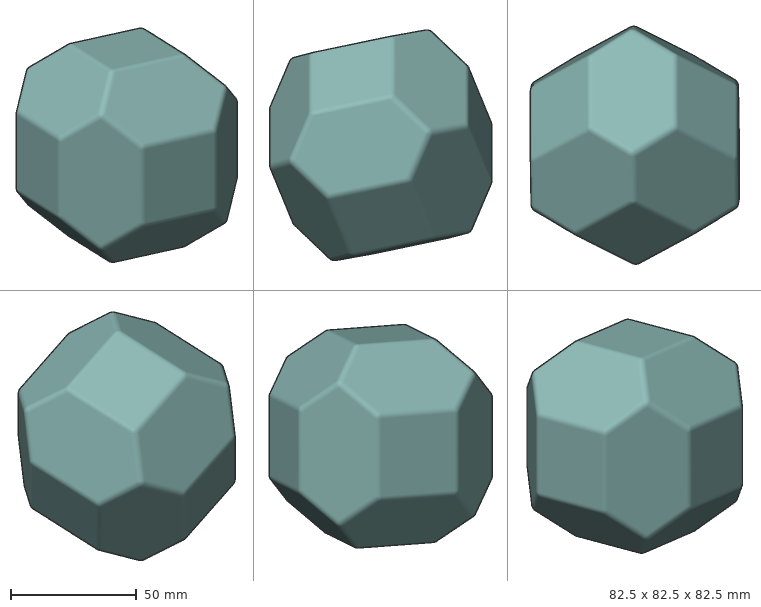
import cadquery as cq

size = 82.55
edge_radius = 3.175
edge_face_angle = 45

center = (0, 0, 0)
axes = [(1, 0, 0), (0, 1, 0), (0, 0, 1)]


def make_cube():
    """Cube centred on the origin; its faces carry the six square faces."""
    return cq.Workplane("XY").box(size, size, size)


def cut_edges_along(block, axis):
    """Cut the four edges parallel to one axis, using a cube turned about that axis."""
    turned_cube = make_cube().rotate(center, axis, edge_face_angle)
    return block.intersect(turned_cube)


def round_edges(block):
    """Round every edge and corner of the block."""
    return block.edges().fillet(edge_radius)


block = make_cube()
for axis in axes:
    block = cut_edges_along(block, axis)

result = round_edges(block)